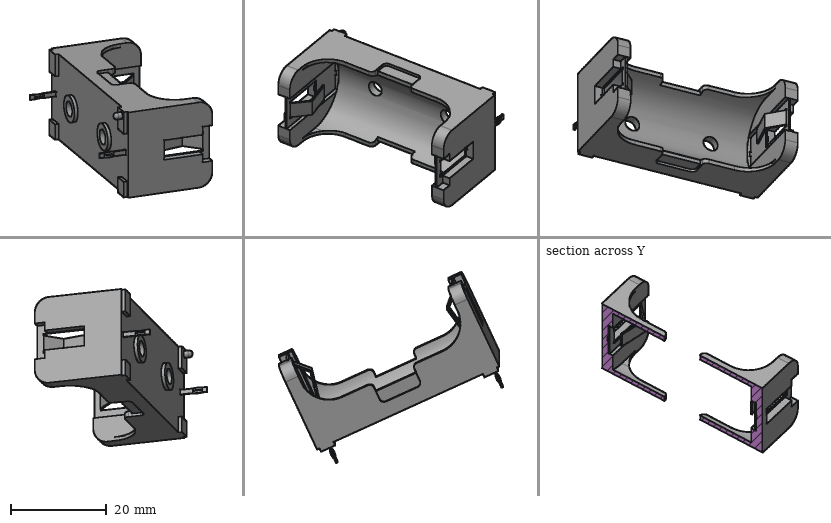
import cadquery as cq
import math


LENGTH = 42.04
WIDTH = 19.05
DEPTH = 19.05
FLOOR = 1.02
END_WALL = 2.98
CRADLE_RADIUS = 8.7
CORNER_RADIUS = 3.175

SIDE_HEIGHT = 7.94
SWEEP_RADIUS = 6.4

NOTCH_WIDTH = 9.3
NOTCH_FLOOR = 3.22
NOTCH_RADIUS = 1.0
LEDGE_HEIGHT = 6.0
LEDGE_RECESS = 0.64

STANDOFF = 0.79
FOOT_WIDTH = 3.24
FOOT_INSET = 0.56
UPPER_FOOT_LENGTH = 4.88
LOWER_FOOT_LENGTH = 3.46

RING_DIAMETER = 5.8
HOLE_DIAMETER = 3.27
HOLE_POSITIONS = (-9.53, 8.75)

POST_RADIUS = 0.76
POST_X = 19.05
POST_Z = 8.3
POST_TIP = 2.53

SHEET = 0.39
PLATE_OUTER_X = 19.27
PLATE_WIDTH = 7.94
RECESS_FLOOR = 16.85

WINDOW_WIDTH = 4.36
PLATE_WINDOW_WIDTH = 4.24
WINDOW_BOTTOM = 8.13
WINDOW_TOP = 17.68

TAB_WIDTH = 3.46
TAB_PEAK_X = 15.55
TAB_PEAK_Y = 14.43
TAB_RETURN_ANGLE = 11.0

TAIL_WIDTH = 1.04
TAIL_LENGTH = 5.73
BULGE_TOP = 2.6
BULGE_BOTTOM = 4.7
BULGE_REACH = 0.42

HALF_LENGTH = LENGTH / 2
HALF_WIDTH = WIDTH / 2
END_INNER_X = HALF_LENGTH - END_WALL
CRADLE_AXIS_Y = FLOOR + CRADLE_RADIUS
PLATE_INNER_X = PLATE_OUTER_X - SHEET
TAIL_X = PLATE_OUTER_X - SHEET / 2


def block(x0, x1, y0, y1, z0, z1):
    """Box between two opposite corners."""
    return cq.Workplane("XY").box(x1 - x0, y1 - y0, z1 - z0, centered=False).translate((x0, y0, z0))


def along_z(sketch, z0, z1):
    """Extrude a closed XY outline from z0 to z1."""
    return sketch.extrude(z1 - z0).translate((0, 0, z0))


def mirror_x(shape):
    return shape.mirror("YZ")


def both_ends(shape):
    """A cutter or boss together with its copy at the -X end."""
    return shape.union(mirror_x(shape))


def tray():
    """Open box with rounded end walls, hollowed by a round-bottomed cradle for the cell."""
    outer = block(-HALF_LENGTH, HALF_LENGTH, 0, DEPTH, -HALF_WIDTH, HALF_WIDTH)
    outer = outer.edges("|X and >Y").fillet(CORNER_RADIUS)
    cradle = cq.Workplane("YZ").center(CRADLE_AXIS_Y, 0).circle(CRADLE_RADIUS).extrude(END_INNER_X, both=True)
    mouth = block(-END_INNER_X, END_INNER_X, CRADLE_AXIS_Y, DEPTH, -CRADLE_RADIUS, CRADLE_RADIUS)
    cavity = cradle.union(mouth)
    return outer.cut(cavity)


def side_opening():
    """Opening that lowers the side walls, with a concave sweep at each end wall."""
    opening = block(-END_INNER_X, END_INNER_X, SIDE_HEIGHT, DEPTH, -HALF_WIDTH, HALF_WIDTH)
    return opening.edges("|Z and <Y").fillet(SWEEP_RADIUS)


def notch_outline():
    """Notch with rounded floor corners and flared rounds at the rim."""
    half = NOTCH_WIDTH / 2
    r = NOTCH_RADIUS
    rim = SIDE_HEIGHT
    floor = NOTCH_FLOOR
    return (
        cq.Workplane("XY")
        .moveTo(-half - r, rim)
        .radiusArc((-half, rim - r), r)
        .lineTo(-half, floor + r)
        .radiusArc((-half + r, floor), -r)
        .lineTo(half - r, floor)
        .radiusArc((half, floor + r), -r)
        .lineTo(half, rim - r)
        .radiusArc((half + r, rim), r)
        .close()
    )


def side_notch():
    """Cutter for both side walls: a full cut above the ledge, a shallow recess below it."""
    cutter = along_z(notch_outline(), -HALF_WIDTH, HALF_WIDTH)
    ledge_face = HALF_WIDTH - LEDGE_RECESS
    kept = block(-NOTCH_WIDTH, NOTCH_WIDTH, 0, LEDGE_HEIGHT, -ledge_face, ledge_face)
    return cutter.cut(kept)


def contact_seat():
    """Channel, rim recess, window and tail slot in the +X end wall."""
    half_plate = PLATE_WIDTH / 2
    half_window = WINDOW_WIDTH / 2
    half_tail = TAIL_WIDTH / 2
    channel = block(END_INNER_X, PLATE_OUTER_X, FLOOR, DEPTH, -half_plate, half_plate)
    recess = block(PLATE_OUTER_X, HALF_LENGTH, RECESS_FLOOR, DEPTH, -half_plate, half_plate)
    window = block(END_INNER_X, HALF_LENGTH, WINDOW_BOTTOM, DEPTH, -half_window, half_window)
    slot = block(TAIL_X - BULGE_REACH, TAIL_X + BULGE_REACH, 0, WINDOW_BOTTOM, -half_tail, half_tail)
    return channel.union(recess).union(window).union(slot)


def feet():
    """Four feet flush with the long sides."""
    outer_x = HALF_LENGTH - FOOT_INSET
    inner_x = outer_x - FOOT_WIDTH
    upper = block(inner_x, outer_x, -STANDOFF, 0, HALF_WIDTH - UPPER_FOOT_LENGTH, HALF_WIDTH)
    lower = block(inner_x, outer_x, -STANDOFF, 0, -HALF_WIDTH, -HALF_WIDTH + LOWER_FOOT_LENGTH)
    return both_ends(upper.union(lower))


def mounting_cylinders(diameter, y0, y1):
    """A cylinder along Y at each mounting hole."""
    centres = [(x, 0) for x in HOLE_POSITIONS]
    plane = cq.Workplane("XZ", origin=(0, y1, 0))
    return plane.pushPoints(centres).circle(diameter / 2).extrude(y1 - y0)


def locating_post():
    """Round post with a hemispherical tip."""
    shank_end = POST_TIP - POST_RADIUS
    shank = cq.Workplane("XZ").center(POST_X, POST_Z).circle(POST_RADIUS).extrude(shank_end)
    nose = cq.Workplane("XY").sphere(POST_RADIUS).translate((POST_X, -shank_end, POST_Z))
    return shank.union(nose)


def make_housing():
    housing = tray().cut(side_opening()).cut(side_notch())
    housing = housing.cut(both_ends(contact_seat()))
    housing = housing.union(feet()).union(mounting_cylinders(RING_DIAMETER, -STANDOFF, 0))
    housing = housing.union(locating_post())
    return housing.cut(mounting_cylinders(HOLE_DIAMETER, -STANDOFF, CRADLE_AXIS_Y))


def contact_plate():
    """Flat plate lying in the end wall's channel, with a window behind the tab."""
    half_plate = PLATE_WIDTH / 2
    half_window = PLATE_WINDOW_WIDTH / 2
    plate = block(PLATE_INNER_X, PLATE_OUTER_X, FLOOR, DEPTH, -half_plate, half_plate)
    window = block(PLATE_INNER_X, PLATE_OUTER_X, WINDOW_BOTTOM, WINDOW_TOP, -half_window, half_window)
    return plate.cut(window)


def spring_tab():
    """Tab bent inward at 45 degrees from the window's top, then back down toward the plate."""
    lean = math.radians(TAB_RETURN_ANGLE)
    slant_drop = SHEET * math.sqrt(2)
    root_top = TAB_PEAK_Y + PLATE_INNER_X - TAB_PEAK_X
    across = SHEET / math.cos(lean)
    bend_shift = (slant_drop - across) / (1 + math.tan(lean))
    bend_x = TAB_PEAK_X + across + bend_shift * math.tan(lean)
    bend_y = TAB_PEAK_Y - bend_shift
    foot_x = TAB_PEAK_X + (TAB_PEAK_Y - WINDOW_BOTTOM) * math.tan(lean)
    outline = (
        cq.Workplane("XY")
        .moveTo(PLATE_INNER_X, root_top)
        .lineTo(TAB_PEAK_X, TAB_PEAK_Y)
        .lineTo(foot_x, WINDOW_BOTTOM)
        .lineTo(foot_x + across, WINDOW_BOTTOM)
        .lineTo(bend_x, bend_y)
        .lineTo(PLATE_OUTER_X, root_top + SHEET - slant_drop)
        .lineTo(PLATE_OUTER_X, root_top + SHEET)
        .close()
    )
    return along_z(outline, -TAB_WIDTH / 2, TAB_WIDTH / 2)


def bowed_half(direction, z0, z1):
    """One half of the split tail, bowed along X in the given direction."""
    middle = -(BULGE_TOP + BULGE_BOTTOM) / 2
    far = direction * SHEET / 2
    near = -far
    outer_peak = direction * BULGE_REACH
    inner_peak = direction * (BULGE_REACH - SHEET)
    outline = (
        cq.Workplane("XY")
        .moveTo(TAIL_X + far, -BULGE_TOP)
        .threePointArc((TAIL_X + outer_peak, middle), (TAIL_X + far, -BULGE_BOTTOM))
        .lineTo(TAIL_X + near, -BULGE_BOTTOM)
        .threePointArc((TAIL_X + inner_peak, middle), (TAIL_X + near, -BULGE_TOP))
        .close()
    )
    return along_z(outline, z0, z1)


def solder_tail():
    """Straight tail, split lengthwise into two oppositely bowed halves near its tip."""
    half = TAIL_WIDTH / 2
    shank = block(PLATE_INNER_X, PLATE_OUTER_X, -BULGE_TOP, FLOOR, -half, half)
    tip = block(PLATE_INNER_X, PLATE_OUTER_X, -TAIL_LENGTH, -BULGE_BOTTOM, -half, half)
    inward = bowed_half(-1, 0, half)
    outward = bowed_half(1, -half, 0)
    return shank.union(inward).union(outward).union(tip)


def make_contact():
    """Contact for the +X end."""
    return contact_plate().union(spring_tab()).union(solder_tail())


housing = make_housing()
right_contact = make_contact()
left_contact = mirror_x(right_contact)

result = cq.Compound.makeCompound(
    [housing.solids().val(), right_contact.solids().val(), left_contact.solids().val()]
)